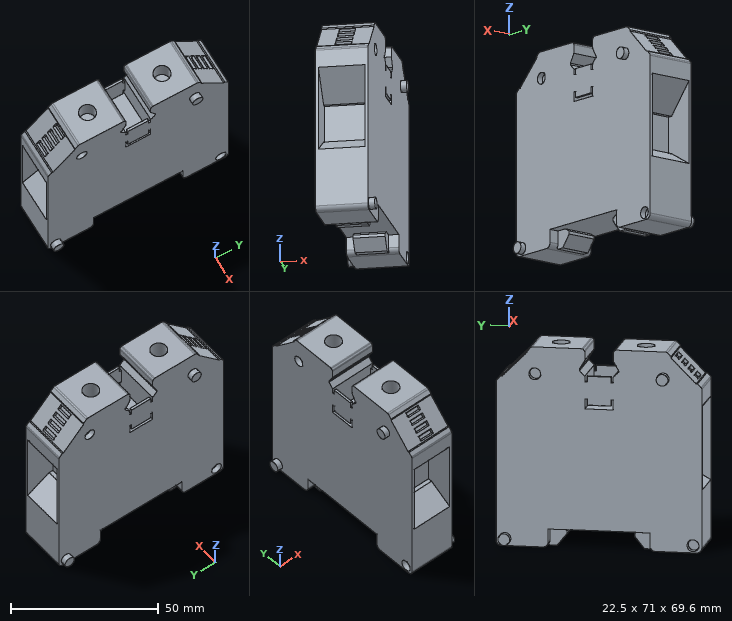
import cadquery as cq


length = 71.0
height = 69.6
width = 18.25
half_length = length / 2
foot_radius = 1.85
channel_edge_chamfer = 0.8
channel_edge_radius = 0.4

lip_outer = 12.15
lip_inner = 10.65
lip_step = 0.5
lip_radius = 0.85
lip_chamfer = lip_outer - lip_inner

rail_half_width = 17.55
rail_depth = 6.4
hook_width = 11.15
hook_heel = 0.6
hook_sole_end = 15.05
hook_tip = 11.65
hook_tip_bottom = 4.2
hook_tip_top = 5.25
hook_root = 13.6

channel_half_width = 4.9
channel_floor = 48.7
groove_depth = 1.85
groove_top = 65.6
groove_upper = 62.5
groove_lower = 61.9
groove_bottom = groove_lower - groove_depth

plate_thickness = 0.9
plate_half_length = 4.1
plate_bottom = 50.0
plate_top = groove_bottom
bridge_bottom = 52.1
bridge_top = 58.15

entry_width = 16.1
entry_bottom = 21.95
entry_top = 51.0
entry_throat_bottom = 27.2
entry_throat_top = 40.25
funnel_depth = 9.2
entry_depth = 10.8

screw_diameter = 6.0
screw_spacing = 29.25
screw_depth = 7.1

slot_count = 4
slot_length = 5.6
slot_mouth_width = 1.85
slot_pitch = 3.05
slot_floor_width = 1.15
slot_depth = 1.15

pin_diameter = 4.05
pin_length = 2.1
upper_pin_y = 22.15
upper_pin_z = 60.2
lower_pin_y = 32.45
lower_pin_z = 2.55


def both_ends(solid):
    """Return the solid together with its mirror image at the other end of the block."""
    return solid.union(solid.mirror("XZ"))


def extrude_profile(points, depth):
    """Extrude a closed (Y, Z) outline symmetrically about X = 0."""
    return cq.Workplane("YZ").polyline(points).close().extrude(depth / 2, both=True)


def box_between(depth, y_range, z_range):
    """Box of the given X depth, centred on X = 0."""
    (y0, y1), (z0, z1) = y_range, z_range
    return extrude_profile([(y0, z0), (y1, z0), (y1, z1), (y0, z1)], depth)


def round_edges(solid, places, radius):
    """Fillet the edges along X that pass through the given (Y, Z) places."""
    for y, z in places:
        near = 0.035
        picker = cq.selectors.BoxSelector(
            (-near, y - near, z - near), (near, y + near, z + near)
        )
        solid = solid.edges(picker).fillet(radius)
    return solid


def half_housing():
    lip_y = half_length - lip_inner
    lip_z = height - lip_inner
    outline = [
        (0, rail_depth),
        (rail_half_width, rail_depth),
        (rail_half_width, 0),
        (half_length, 0),
        (half_length, height - lip_outer),
        (half_length - lip_chamfer, lip_z),
        (half_length - lip_chamfer - lip_step, lip_z),
        (lip_y, height - lip_chamfer - lip_step),
        (lip_y, height - lip_chamfer),
        (half_length - lip_outer, height),
        (channel_half_width + channel_edge_chamfer, height),
        (channel_half_width, height - channel_edge_chamfer),
        (channel_half_width, groove_top),
        (channel_half_width + groove_depth, groove_upper),
        (channel_half_width + groove_depth, groove_lower),
        (channel_half_width, groove_bottom),
        (channel_half_width, channel_floor),
        (0, channel_floor),
    ]
    half = extrude_profile(outline, width)
    half = round_edges(half, [(rail_half_width, 0), (half_length, 0)], foot_radius)
    lip_corners = [(half_length, height - lip_outer), (half_length - lip_outer, height)]
    half = round_edges(half, lip_corners, lip_radius)
    channel_corners = [
        (channel_half_width + channel_edge_chamfer, height),
        (channel_half_width, height - channel_edge_chamfer),
    ]
    return round_edges(half, channel_corners, channel_edge_radius)


def hook():
    return extrude_profile(
        [
            (rail_half_width, 0),
            (hook_sole_end, 0),
            (hook_tip, hook_tip_bottom),
            (hook_tip, hook_tip_top),
            (hook_root, rail_depth),
            (rail_half_width + hook_heel, rail_depth),
            (rail_half_width + hook_heel, hook_heel),
        ],
        hook_width,
    )


def side_plates():
    plate = box_between(width, (-plate_half_length, plate_half_length), (plate_bottom, plate_top))
    bridge = box_between(width, (-channel_half_width, channel_half_width), (bridge_bottom, bridge_top))
    inside = box_between(
        width - 2 * plate_thickness,
        (-channel_half_width, channel_half_width),
        (channel_floor, height),
    )
    return plate.union(bridge).cut(inside)


def wire_entry():
    throat = half_length - funnel_depth
    back = half_length - entry_depth
    return extrude_profile(
        [
            (half_length, entry_bottom),
            (throat, entry_throat_bottom),
            (back, entry_throat_bottom),
            (back, entry_throat_top),
            (throat, entry_throat_top),
            (half_length, entry_top),
        ],
        entry_width,
    )


def screw_hole():
    top = cq.Workplane("XY", origin=(0, screw_spacing / 2, height))
    return top.circle(screw_diameter / 2).extrude(-screw_depth)


def vent_slots():
    setback = (lip_inner + lip_chamfer + lip_step) / 2
    shoulder = cq.Plane(
        origin=(0, half_length - setback, height - setback), xDir=(1, 0, 0), normal=(0, 1, 1)
    )
    half_mouth = slot_mouth_width / 2
    half_floor = slot_floor_width / 2
    section = [
        (half_mouth, 0),
        (half_floor, -slot_depth),
        (-half_floor, -slot_depth),
        (-half_mouth, 0),
    ]
    slots = cq.Workplane()
    for index in range(slot_count):
        offset = (index - (slot_count - 1) / 2) * slot_pitch
        section_plane = cq.Plane(
            origin=shoulder.toWorldCoords((0, offset, 0)), xDir=shoulder.yDir, normal=shoulder.xDir
        )
        slot = cq.Workplane(section_plane).polyline(section).close().extrude(slot_length / 2, both=True)
        slots = slots.add(slot)
    return slots.combine()


def stud(side, y, z):
    """Cylinder standing outwards (side = 1) or inwards (side = -1) on the -X face."""
    face = cq.Workplane("YZ", origin=(-width / 2, y, z))
    return face.circle(pin_diameter / 2).extrude(-side * pin_length)


def half_turn(solid):
    """Return the solid together with its copy turned half a turn about Z."""
    return solid.union(solid.rotate((0, 0, 0), (0, 0, 1), 180))


pins = half_turn(stud(1, -upper_pin_y, upper_pin_z).union(stud(1, lower_pin_y, lower_pin_z)))
sockets = half_turn(stud(-1, upper_pin_y, upper_pin_z).union(stud(-1, -lower_pin_y, lower_pin_z)))

result = both_ends(half_housing().union(hook()))
result = result.union(side_plates())
for cutter in (wire_entry(), screw_hole(), vent_slots()):
    result = result.cut(both_ends(cutter))
result = result.cut(sockets).union(pins)